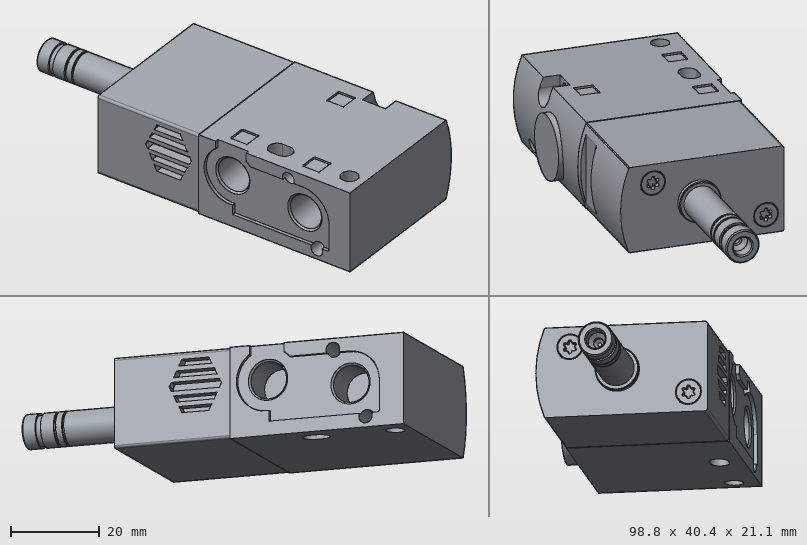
import cadquery as cq
import math


collar_start = 27.6
housing_start = 28.8
block_start = 56.8
overall_length = 98.75

block_height = 21.1
housing_height = 20.8
back_edge_y = 37.3
crown_y = 39.4
overall_depth = 40.4
housing_front_y = 0.1
housing_edge_fillet = 0.6
housing_back_chamfer = 0.2
back_slot_start = 48.1
back_slot_width = 6.8
back_slot_floor_y = 38.1

tube_y = 20.6
tube_diameter = 8.0
tube_end_chamfer = 0.3
tube_groove_diameter = 7.1
tube_grooves = [(3.3, 1.3), (7.7, 0.5), (9.7, 0.5)]
collar_diameter = 10.0
collar_chamfer = 0.2
bore_mouth_diameter = 4.9
bore_diameter = 4.3
bore_depth = 3.0
pilot_diameter = 2.4
pilot_depth = 4.9
tip_diameter = 0.9

screw_places = [(31.6, 5.8), (4.4, -5.8)]
screw_head_diameter = 5.5
screw_seat_diameter = 5.9
screw_head_height = 3.0
socket_tip_diameter = 3.2
socket_core_diameter = 2.2
socket_lobe_width = 0.8
socket_lobe_angles = (30, 90, 150)
socket_depth = 1.5

vent_x = 48.4
vent_z = 2.6
vent_half_width = 6.3
vent_taper = 0.5
vent_middle_height = 2.1
vent_outer_height = 1.5
vent_gap = 1.1
vent_rows_each_side = 2
vent_depth = 2.5

port_diameter = 8.6
port_mouth_diameter = 9.5
port_depth = 9.9
port_a_x = 65.7
port_a_z = 2.5
port_b_x = 85.6
port_b_z = 0.0
recess_radius = 7.3
recess_depth = 0.9
recess_step_x = 66.3
recess_corner_fillet = 0.5
neck_start_x = 61.5
neck_end_x = 69.9

bolt_hole_diameter = 3.3
bolt_hole_z = 8.0
upper_bolt_x = 81.7
lower_bolt_x = 89.6
notch_width = 6.3
notch_floor_y = 33.3

mount_diameter = 4.3
mount_y = 5.6
mount_hole_x = 94.6
mount_slot_x = 75.5
mount_slot_length = 6.3

disc_diameter = 15.6
disc_x = 74.4
disc_z = -2.0
label_size = 4.6
label_depth = 0.5
label_corner_fillet = 0.4
front_label_offset = 0.1
front_label_y = 5.3
back_label_y = 30.7


def side_plane(x):
    """Plane across X: local x is Y, local y is Z, the normal points along +X."""
    return cq.Workplane("YZ", origin=(x, 0, 0))


def front_plane(y):
    """Plane across Y: local x is X, local y is Z, the normal points along -Y."""
    return cq.Workplane(cq.Plane(origin=(0, y, 0), xDir=(1, 0, 0), normal=(0, -1, 0)))


def top_plane():
    return cq.Workplane("XY", origin=(0, 0, block_height / 2))


def back_y(z):
    """Y of the crowned back at height z."""
    half_height = block_height / 2
    rise = crown_y - back_edge_y
    radius = (half_height**2 + rise**2) / (2 * rise)
    return crown_y - radius + math.sqrt(radius**2 - z**2)


def crowned_bar(start, end, height, front_y):
    half_height = height / 2
    edge_y = back_y(half_height)
    return (
        side_plane(start)
        .moveTo(front_y, -half_height)
        .lineTo(edge_y, -half_height)
        .threePointArc((crown_y, 0), (edge_y, half_height))
        .lineTo(front_y, half_height)
        .close()
        .extrude(end - start)
    )


def armature_tube():
    """Turned tube with its collar, reaching the housing face."""
    tube = side_plane(0).center(tube_y, 0).circle(tube_diameter / 2).extrude(housing_start)
    tube = tube.faces("<X").chamfer(tube_end_chamfer)
    collar = (
        side_plane(collar_start)
        .center(tube_y, 0)
        .circle(collar_diameter / 2)
        .extrude(housing_start - collar_start)
        .faces("<X")
        .chamfer(collar_chamfer)
    )
    tube = tube.union(collar)
    for start, width in tube_grooves:
        groove = (
            side_plane(start)
            .center(tube_y, 0)
            .circle(tube_diameter)
            .circle(tube_groove_diameter / 2)
            .extrude(width)
        )
        tube = tube.cut(groove)
    return tube.cut(tube_bore())


def tube_bore():
    """Stepped bore: countersunk mouth, cone down to a pilot bore, blunt drill tip."""
    mouth_radius = bore_mouth_diameter / 2
    bore_radius = bore_diameter / 2
    pilot_radius = pilot_diameter / 2
    tip_radius = tip_diameter / 2
    outline = [
        (0, 0),
        (0, mouth_radius),
        (mouth_radius - bore_radius, bore_radius),
        (bore_depth, bore_radius),
        (bore_depth + bore_radius - pilot_radius, pilot_radius),
        (pilot_depth, pilot_radius),
        (pilot_depth + pilot_radius - tip_radius, tip_radius),
        (pilot_depth + pilot_radius - tip_radius, 0),
    ]
    bore = cq.Workplane("XY").polyline(outline).close().revolve(360, (0, 0, 0), (1, 0, 0))
    return bore.translate((0, tube_y, 0))


def vent_slot(low, high):
    """One louvre slot between two heights, its ends following the tapered outline."""
    levels = [low, high]
    if low < 0 < high:
        levels = [low, 0, high]
    right = [(vent_half_width - vent_taper * abs(level), level) for level in levels]
    left = [(-half_width, level) for half_width, level in reversed(right)]
    return (
        front_plane(housing_front_y)
        .center(vent_x, vent_z)
        .polyline(right + left)
        .close()
        .extrude(-vent_depth)
    )


def vent_slots():
    middle = vent_middle_height / 2
    slots = vent_slot(-middle, middle)
    for row in range(vent_rows_each_side):
        low = middle + vent_gap + row * (vent_outer_height + vent_gap)
        high = low + vent_outer_height
        slots = slots.union(vent_slot(low, high)).union(vent_slot(-high, -low))
    return slots


def make_housing():
    housing = crowned_bar(housing_start, block_start, housing_height, housing_front_y)
    housing = housing.edges("|X and <Y").fillet(housing_edge_fillet)
    housing = housing.edges("|X").edges(">Y").chamfer(housing_back_chamfer)
    back_slot = cq.Workplane("XY").box(
        back_slot_width, crown_y - back_slot_floor_y, housing_height, centered=(False, False, True)
    )
    housing = housing.cut(back_slot.translate((back_slot_start, back_slot_floor_y, 0)))
    seats = (
        side_plane(housing_start)
        .pushPoints(screw_places)
        .circle(screw_seat_diameter / 2)
        .extrude(screw_head_height)
    )
    return housing.cut(seats).cut(vent_slots()).union(armature_tube())


def make_screw(y, z):
    """Cover screw head, flush with the housing face, with a six-lobed socket."""
    screw = side_plane(housing_start).circle(screw_head_diameter / 2).extrude(screw_head_height)
    socket = side_plane(housing_start).circle(socket_core_diameter / 2).extrude(socket_depth)
    for angle in socket_lobe_angles:
        lobes = (
            side_plane(housing_start)
            .slot2D(socket_tip_diameter, socket_lobe_width, angle)
            .extrude(socket_depth)
        )
        socket = socket.union(lobes)
    return screw.cut(socket).translate((0, y, z))


def port_recess():
    """Round pad about port A, pad around port B rounded about it, and a neck to the top face."""
    round_pad = front_plane(0).center(port_a_x, port_a_z).circle(recess_radius).extrude(-recess_depth)
    pad_end_x = port_b_x + recess_radius
    long_pad = (
        front_plane(0)
        .moveTo(recess_step_x, -recess_radius)
        .lineTo(pad_end_x, -recess_radius)
        .lineTo(pad_end_x, port_b_z)
        .radiusArc((port_b_x, recess_radius), -recess_radius)
        .lineTo(recess_step_x, recess_radius)
        .close()
        .extrude(-recess_depth)
        .edges("|Y and >X and <Z")
        .fillet(recess_corner_fillet)
    )
    neck = (
        front_plane(0)
        .moveTo(neck_start_x, port_a_z)
        .lineTo(neck_end_x, port_a_z)
        .lineTo(neck_end_x, block_height / 2)
        .lineTo(neck_start_x, block_height / 2)
        .close()
        .extrude(-recess_depth)
    )
    return round_pad.union(long_pad).union(neck)


def make_port(x, z):
    """Blind port with a 45 degree countersunk mouth in the recessed face."""
    mouth_radius = port_mouth_diameter / 2
    radius = port_diameter / 2
    mouth_depth = recess_depth + mouth_radius - radius
    outline = [
        (0, recess_depth),
        (mouth_radius, recess_depth),
        (radius, mouth_depth),
        (radius, port_depth),
        (0, port_depth),
    ]
    port = cq.Workplane("XY").polyline(outline).close().revolve(360, (0, 0, 0), (0, 1, 0))
    return port.translate((x, 0, z))


def bolt_holes():
    """Two cross holes through Y, the upper one with an open-topped counterbore in the back."""
    holes = (
        front_plane(0)
        .pushPoints([(upper_bolt_x, bolt_hole_z), (lower_bolt_x, -bolt_hole_z)])
        .circle(bolt_hole_diameter / 2)
        .extrude(-overall_depth)
    )
    half_width = notch_width / 2
    notch = (
        front_plane(notch_floor_y)
        .moveTo(upper_bolt_x - half_width, block_height / 2)
        .lineTo(upper_bolt_x - half_width, bolt_hole_z)
        .threePointArc((upper_bolt_x, bolt_hole_z - half_width), (upper_bolt_x + half_width, bolt_hole_z))
        .lineTo(upper_bolt_x + half_width, block_height / 2)
        .close()
        .extrude(notch_floor_y - overall_depth)
    )
    return holes.union(notch)


def mounting_holes():
    hole = top_plane().center(mount_hole_x, mount_y).circle(mount_diameter / 2).extrude(-block_height)
    slot = (
        top_plane()
        .center(mount_slot_x, mount_y)
        .slot2D(mount_slot_length, mount_diameter)
        .extrude(-block_height)
    )
    return hole.union(slot)


def label_recess(x, y):
    """Shallow square recess in the top face."""
    return top_plane().center(x, y).rect(label_size, label_size).extrude(-label_depth)


def label_recesses():
    """One recess near each port; the front two are rounded on their -X side."""
    recesses = label_recess(disc_x, back_label_y)
    for x in (port_a_x, port_b_x):
        front_label = label_recess(x + front_label_offset, front_label_y)
        recesses = recesses.union(front_label.edges("|Z and <X").fillet(label_corner_fillet))
    return recesses


def back_disc():
    """Round disc standing proud of the crowned back."""
    return (
        front_plane(back_edge_y)
        .center(disc_x, disc_z)
        .circle(disc_diameter / 2)
        .extrude(back_edge_y - overall_depth)
    )


def make_block():
    block = crowned_bar(block_start, overall_length, block_height, 0)
    block = block.union(back_disc()).cut(port_recess())
    block = block.cut(make_port(port_a_x, port_a_z)).cut(make_port(port_b_x, port_b_z))
    return block.cut(bolt_holes()).cut(mounting_holes()).cut(label_recesses())


housing = make_housing()
block = make_block()
screws = [make_screw(y, z) for y, z in screw_places]

result = cq.Compound.makeCompound([housing.val(), block.val(), *[screw.val() for screw in screws]])